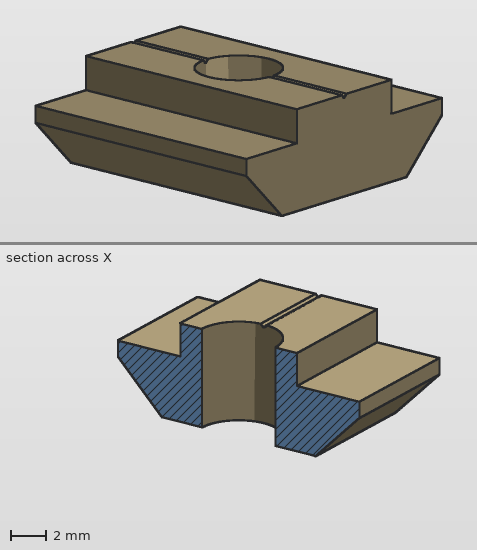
import cadquery as cq

length = 16.0
flange_width = 16.5
height = 6.0

neck_width = 8.0
neck_height = 2.0
flange_edge_height = 1.0
base_chamfer = 3.0

hole_diameter = 5.0
groove_width = 0.4
groove_depth = groove_width / 2

flange_top = height - neck_height
flange_bottom = flange_top - flange_edge_height
base_width = flange_width - 2 * base_chamfer


def slot_nut_body():
    """T-shaped section with sloped lower flanks and a V groove on top, extruded along X."""
    right_half = [
        (base_width / 2, 0),
        (flange_width / 2, flange_bottom),
        (flange_width / 2, flange_top),
        (neck_width / 2, flange_top),
        (neck_width / 2, height),
        (groove_width / 2, height),
    ]
    groove_root = (0, height - groove_depth)
    left_half = [(-y, z) for y, z in reversed(right_half)]
    outline = right_half + [groove_root] + left_half
    return cq.Workplane("YZ").polyline(outline).close().extrude(length / 2, both=True)


def through_hole():
    """Vertical hole through the centre of the nut."""
    return cq.Workplane("XY").circle(hole_diameter / 2).extrude(height)


result = slot_nut_body().cut(through_hole())